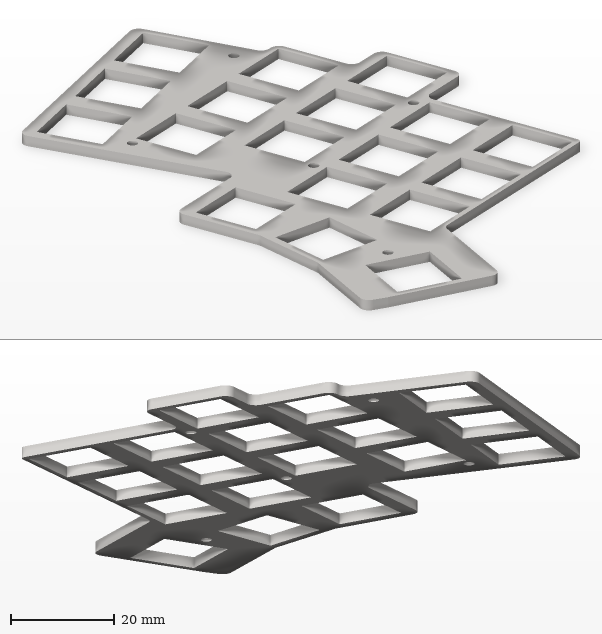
import cadquery as cq
import math

thickness = 2.2
cutout_side = 14.0
screw_diameter = 2.2
row_pitch = 18.0
little_pitch = 18.3

little_middle = (-47.3, 7.0)
ring_middle = (-25.3, 14.0)
middle_middle = (-6.0, 22.9)
index_middle = (12.9, 9.4)
inner_middle = (32.2, 9.4)
little_tilt = 9.4

thumb_keys = [((3.4, -26.5), 0), ((24.2, -29.6), -15), ((46.9, -33.1), -30)]

screw_centres = [(-37.8, 31.5), (3.4, 32.5), (3.4, -2.5), (-31.7, -13.3), (37.8, -28.4)]

rim = 8.5
little_outer_rim = 9.7
little_top_rim = 8.7
little_bottom_rim = 9.4
little_bottom_tilt = 10
middle_top_rim = 8.4
middle_side_rim = 9.7
inner_side_rim = 8.2
thumb_near_side_rim = 10.4
thumb_near_bottom_rim = 9.0
thumb_mid_rim = 8.7
thumb_far_side_rim = 8.4
wide_thumb_rim = 14.7

taper_point = (50.2, -44.5)
taper_tilt = -34

corner_radius = 2.0
small_radius = 1.0


def along(point, angle, right, up):
    """Shift a point by right/up distances measured in axes turned by angle."""
    turn = math.radians(angle)
    return (
        point[0] + right * math.cos(turn) - up * math.sin(turn),
        point[1] + right * math.sin(turn) + up * math.cos(turn),
    )


def column_key(middle, tilt, row, pitch=row_pitch):
    """Centre of a key, row counted upward from the middle one."""
    return along(middle, tilt, 0, row * pitch)


def meet(first, second):
    """Crossing point of two lines, each a (point, direction angle) pair."""
    (x1, y1), angle1 = first
    (x2, y2), angle2 = second
    dx1, dy1 = math.cos(math.radians(angle1)), math.sin(math.radians(angle1))
    dx2, dy2 = math.cos(math.radians(angle2)), math.sin(math.radians(angle2))
    distance = ((x2 - x1) * dy2 - (y2 - y1) * dx2) / (dx1 * dy2 - dy1 * dx2)
    return (x1 + distance * dx1, y1 + distance * dy1)


def edge_beside(point, tilt, offset):
    """Plate edge running up the tilted axes, offset to the right of a point."""
    return (along(point, tilt, offset, 0), tilt + 90)


def edge_above(point, tilt, offset):
    """Plate edge running across the tilted axes, offset above a point."""
    return (along(point, tilt, 0, offset), tilt)


def rounded_outline(edges, radii):
    """Closed wire along the edges; radii[i] rounds the end of edge i."""
    count = len(edges)
    corners = [meet(edges[i], edges[(i + 1) % count]) for i in range(count)]
    outline = None
    for i, radius in enumerate(radii):
        corner = cq.Vector(*corners[i])
        back = (cq.Vector(*corners[i - 1]) - corner).normalized()
        ahead = (cq.Vector(*corners[(i + 1) % count]) - corner).normalized()
        half_angle = back.getAngle(ahead) / 2
        tangent_length = radius / math.tan(half_angle)
        arc_start = corner + back * tangent_length
        start = (arc_start.x, arc_start.y)
        outline = outline.lineTo(*start) if outline else cq.Workplane("XY").moveTo(*start)
        arc_end = corner + ahead * tangent_length
        bisector = (back + ahead).normalized()
        arc_middle = corner + bisector * (radius / math.sin(half_angle) - radius)
        outline = outline.threePointArc((arc_middle.x, arc_middle.y), (arc_end.x, arc_end.y))
    return outline.close()


thumb_near, thumb_mid, thumb_far = thumb_keys
little_top = column_key(little_middle, little_tilt, 1, little_pitch)
little_bottom = column_key(little_middle, little_tilt, -1, little_pitch)
outline_steps = [
    (edge_beside(little_middle, little_tilt, -little_outer_rim), corner_radius),
    (edge_above(little_top, little_tilt, little_top_rim), corner_radius),
    (edge_beside(ring_middle, 0, -rim), corner_radius),
    (edge_above(column_key(ring_middle, 0, 1), 0, rim), corner_radius),
    (edge_beside(middle_middle, 0, -middle_side_rim), corner_radius),
    (edge_above(column_key(middle_middle, 0, 1), 0, middle_top_rim), corner_radius),
    (edge_beside(middle_middle, 0, middle_side_rim), corner_radius),
    (edge_above(column_key(index_middle, 0, 1), 0, rim), small_radius),
    (edge_beside(inner_middle, 0, inner_side_rim), corner_radius),
    (edge_above(*thumb_far, wide_thumb_rim), corner_radius),
    (edge_beside(*thumb_far, thumb_far_side_rim), small_radius),
    (edge_beside(taper_point, taper_tilt, 0), corner_radius),
    (edge_above(*thumb_far, -wide_thumb_rim), corner_radius),
    (edge_above(*thumb_mid, -thumb_mid_rim), corner_radius),
    (edge_above(*thumb_near, -thumb_near_bottom_rim), corner_radius),
    (edge_beside(*thumb_near, -thumb_near_side_rim), corner_radius),
    (edge_above(little_bottom, little_bottom_tilt, -little_bottom_rim), corner_radius),
]
outline_edges = [edge for edge, radius in outline_steps]
outline_radii = [radius for edge, radius in outline_steps]
plate = rounded_outline(outline_edges, outline_radii).extrude(thickness / 2, both=True)

columns = [
    (little_middle, little_tilt, little_pitch),
    (ring_middle, 0, row_pitch),
    (middle_middle, 0, row_pitch),
    (index_middle, 0, row_pitch),
    (inner_middle, 0, row_pitch),
]
keys = [
    (column_key(middle, tilt, row, pitch), tilt)
    for middle, tilt, pitch in columns
    for row in (-1, 0, 1)
]
for centre, tilt in keys + thumb_keys:
    cutout = cq.Workplane("XY").box(cutout_side, cutout_side, 2 * thickness)
    plate = plate.cut(cutout.rotate((0, 0, 0), (0, 0, 1), tilt).translate((*centre, 0)))

screws = cq.Workplane("XY").pushPoints(screw_centres).circle(screw_diameter / 2)
plate = plate.cut(screws.extrude(thickness, both=True))

result = plate